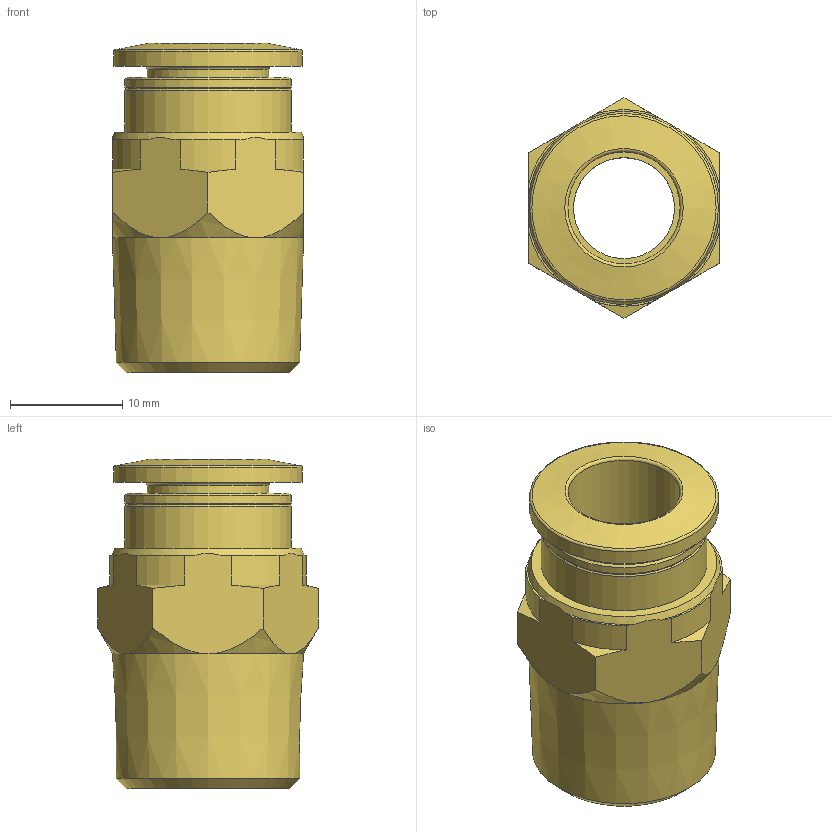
import cadquery as cq
import math

total_height = 29.3
thread_top = 12.0
shoulder_height = 18.1
hex_collar_top = 21.4
body_top = 26.3
flange_bottom = 27.25
flange_edge = 28.75

thread_top_radius = 8.505
thread_taper = 1 / 16
thread_chamfer = 0.9

across_flats = 17.0
across_corners = across_flats / math.cos(math.radians(30))
hex_lower_chamfer_angle = 30
hex_upper_chamfer_angle = 15
collar_radius = 17.5 / 2
collar_ledge_height = 20.75
collar_cone_radius = 8.58
collar_cone_angle = 24

body_radius = 14.8 / 2
body_chamfer = 0.2
body_groove_center = 25.27
body_groove_width = 0.3
body_groove_depth = 0.1

neck_radius = 10.8 / 2
neck_fillet = 0.3
flange_radius = 16.8 / 2
flange_edge_round = 0.2

socket_radius = 10.0 / 2
socket_edge_round = 0.27
socket_floor = thread_top
passage_radius = 9.0 / 2

AXIS_START = (0, 0, 0)
AXIS_END = (0, 1, 0)


def revolve_profile(profile):
    """Turn a closed XZ profile about the Z axis."""
    return profile.close().revolve(360, AXIS_START, AXIS_END)


def make_thread():
    chamfer_radius = thread_top_radius - (thread_top - thread_chamfer) * thread_taper / 2
    return revolve_profile(
        cq.Workplane("XZ")
        .lineTo(chamfer_radius - thread_chamfer, 0)
        .lineTo(chamfer_radius, thread_chamfer)
        .lineTo(thread_top_radius, thread_top)
        .lineTo(0, thread_top)
    )


def make_hexagon():
    """Hexagonal prism trimmed by a turned envelope, with corners on the Y axis."""
    prism = (
        cq.Workplane("XY")
        .workplane(offset=thread_top)
        .polygon(6, across_corners)
        .extrude(hex_collar_top - thread_top)
        .rotate((0, 0, 0), (0, 0, 1), 30)
    )
    corner_radius = across_corners / 2
    lower_rise = (corner_radius - across_flats / 2) / math.tan(math.radians(hex_lower_chamfer_angle))
    upper_drop = (corner_radius - collar_radius) * math.tan(math.radians(hex_upper_chamfer_angle))
    cone_inset = (hex_collar_top - collar_ledge_height) * math.tan(math.radians(collar_cone_angle))
    envelope = revolve_profile(
        cq.Workplane("XZ")
        .moveTo(0, thread_top)
        .lineTo(across_flats / 2, thread_top)
        .lineTo(corner_radius, thread_top + lower_rise)
        .lineTo(corner_radius, shoulder_height - upper_drop)
        .lineTo(collar_radius, shoulder_height)
        .lineTo(collar_radius, collar_ledge_height)
        .lineTo(collar_cone_radius, collar_ledge_height)
        .lineTo(collar_cone_radius - cone_inset, hex_collar_top)
        .lineTo(0, hex_collar_top)
    )
    return prism.intersect(envelope)


def make_body():
    """Cylinder with a chamfered top and a fine V groove."""
    return revolve_profile(
        cq.Workplane("XZ")
        .moveTo(0, hex_collar_top)
        .lineTo(body_radius, hex_collar_top)
        .lineTo(body_radius, body_groove_center - body_groove_width / 2)
        .lineTo(body_radius - body_groove_depth, body_groove_center)
        .lineTo(body_radius, body_groove_center + body_groove_width / 2)
        .lineTo(body_radius, body_top - body_chamfer)
        .lineTo(body_radius - body_chamfer, body_top)
        .lineTo(0, body_top)
    )


def make_sleeve():
    """Neck and flange with a shallow conical top."""
    mouth_radius = socket_radius + socket_edge_round
    round_end_radius = flange_radius - flange_edge_round
    diagonal = flange_edge_round * math.sqrt(0.5)
    neck_fillet_inset = neck_fillet * (1 - math.sqrt(0.5))
    round_start_height = flange_edge - flange_edge_round
    return revolve_profile(
        cq.Workplane("XZ")
        .moveTo(0, body_top)
        .lineTo(neck_radius, body_top)
        .lineTo(neck_radius, flange_bottom - neck_fillet)
        .threePointArc(
            (neck_radius + neck_fillet_inset, flange_bottom - neck_fillet_inset),
            (neck_radius + neck_fillet, flange_bottom),
        )
        .lineTo(flange_radius, flange_bottom)
        .lineTo(flange_radius, round_start_height)
        .threePointArc(
            (round_end_radius + diagonal, round_start_height + diagonal),
            (round_end_radius, flange_edge),
        )
        .lineTo(mouth_radius, total_height)
        .lineTo(0, total_height)
    )


def make_bore():
    """Stepped through bore with a rounded mouth."""
    mouth_radius = socket_radius + socket_edge_round
    diagonal = socket_edge_round * math.sqrt(0.5)
    return revolve_profile(
        cq.Workplane("XZ")
        .lineTo(passage_radius, 0)
        .lineTo(passage_radius, socket_floor)
        .lineTo(socket_radius, socket_floor)
        .lineTo(socket_radius, total_height - socket_edge_round)
        .threePointArc(
            (mouth_radius - diagonal, total_height - socket_edge_round + diagonal),
            (mouth_radius, total_height),
        )
        .lineTo(0, total_height)
    )


result = make_thread().union(make_hexagon()).union(make_body()).union(make_sleeve()).cut(make_bore())